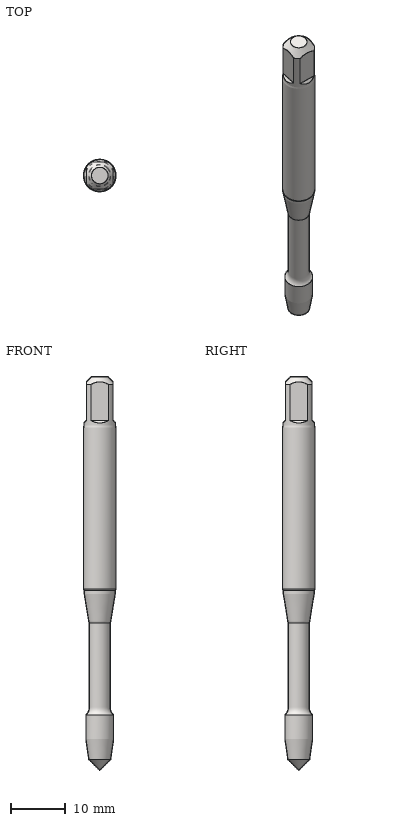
import cadquery as cq
import math

total_length = 72.0
shank_diameter = 6.0
square_blank_diameter = 5.8
land_diameter = 5.7
neck_diameter = 3.9
thread_diameter = 5.1
point_base_diameter = 4.0
cone_end_diameter = 4.0
top_face_diameter = 3.0

point_height = point_base_diameter / 2
lead_top = 5.7
thread_top = 10.15
neck_bottom = 11.45
cone_bottom = 27.0
cone_step_top = 27.2
cone_top = 32.25
land_top = 32.9
shank_bottom = 33.2
shank_top = 62.65
square_blank_bottom = 63.0
square_bottom = 64.0

square_width = 4.9
shoulder_slope = 45.0
flat_count = 4


def concave_runout_midpoint(inner_radius, outer_radius, low, high):
    """Middle of an arc that leaves the inner cylinder tangentially at the high end."""
    width = outer_radius - inner_radius
    height = high - low
    arc_radius = (width**2 + height**2) / (2 * width)
    half_angle = math.asin(height / arc_radius) / 2
    return (
        inner_radius + arc_radius * (1 - math.cos(half_angle)),
        high - arc_radius * math.sin(half_angle),
    )


def make_thread_section():
    """Cutting end: conical point, tapered lead and thread cylinder."""
    return (
        cq.Workplane("XZ")
        .moveTo(0, 0)
        .lineTo(point_base_diameter / 2, point_height)
        .lineTo(thread_diameter / 2, lead_top)
        .lineTo(thread_diameter / 2, thread_top)
        .lineTo(0, thread_top)
        .close()
        .revolve(360, (0, 0, 0), (0, 1, 0))
    )


def make_round_shank():
    """Turned shape of the neck, cone and shank, before the square is cut."""
    neck_radius = neck_diameter / 2
    thread_radius = thread_diameter / 2
    blank_radius = square_blank_diameter / 2
    land_radius = land_diameter / 2
    top_face_radius = top_face_diameter / 2
    top_chamfer = blank_radius - top_face_radius
    runout_middle = concave_runout_midpoint(neck_radius, thread_radius, thread_top, neck_bottom)
    return (
        cq.Workplane("XZ")
        .moveTo(0, thread_top)
        .lineTo(thread_radius, thread_top)
        .threePointArc(runout_middle, (neck_radius, neck_bottom))
        .lineTo(neck_radius, cone_bottom)
        .lineTo(cone_end_diameter / 2, cone_step_top)
        .lineTo(land_radius, cone_top)
        .lineTo(land_radius, land_top)
        .lineTo(shank_diameter / 2, shank_bottom)
        .lineTo(shank_diameter / 2, shank_top)
        .lineTo(blank_radius, square_blank_bottom)
        .lineTo(blank_radius, total_length - top_chamfer)
        .lineTo(top_face_radius, total_length)
        .lineTo(0, total_length)
        .close()
        .revolve(360, (0, 0, 0), (0, 1, 0))
    )


def make_flat_cutter():
    """Material beside one flat (+X side), with a shoulder sloping down and outward."""
    flat_offset = square_width / 2
    outer_reach = shank_diameter
    shoulder_drop = (outer_reach - flat_offset) * math.tan(math.radians(shoulder_slope))
    return (
        cq.Workplane("XZ")
        .moveTo(flat_offset, square_bottom)
        .lineTo(outer_reach, square_bottom - shoulder_drop)
        .lineTo(outer_reach, total_length)
        .lineTo(flat_offset, total_length)
        .close()
        .extrude(shank_diameter, both=True)
    )


def make_shank():
    """Neck and shank with the square drive at the top."""
    shank = make_round_shank()
    flat_cutter = make_flat_cutter()
    for index in range(flat_count):
        turn = index * 360 / flat_count
        shank = shank.cut(flat_cutter.rotate((0, 0, 0), (0, 0, 1), turn))
    return shank


thread_section = make_thread_section()
shank = make_shank()

result = cq.Compound.makeCompound([thread_section.val(), shank.val()])